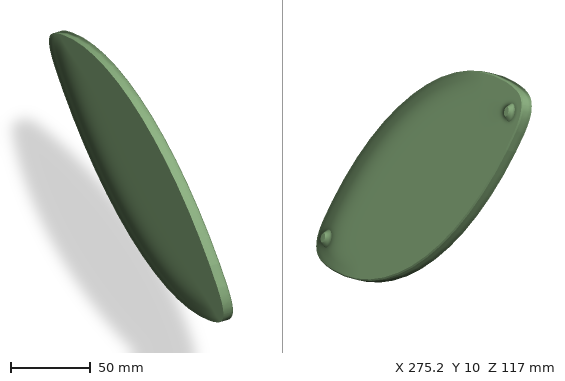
import cadquery as cq
import math

LENGTH = 275.2
WIDTH = 117.0
DEPTH = 10.0
BACK_CHAMFER = 0.8

SIDE_RADIUS = 210.5
TIP_START_X = 116.5
TIP_FULLNESS = 0.75

PEG_SPACING = 244.5
PEG_BASE_DIAMETER = 11.5
PEG_TOP_DIAMETER = 6.0
PEG_HEIGHT = 3.0

THICKNESS = DEPTH - PEG_HEIGHT


def make_plate():
    """Leaf-shaped plate with its front face on Y = 0 and a chamfered back edge."""
    half_length = LENGTH / 2
    half_width = WIDTH / 2
    side_angle = math.asin(TIP_START_X / SIDE_RADIUS)
    tip_start_z = half_width - SIDE_RADIUS * (1 - math.cos(side_angle))

    tip_run = half_length - TIP_START_X
    corner_drop = tip_run * math.tan(side_angle)
    corner_z = tip_start_z - corner_drop
    handle_x = TIP_START_X + TIP_FULLNESS * tip_run
    handle_z = tip_start_z - TIP_FULLNESS * corner_drop
    upper_tip = [
        (TIP_START_X, tip_start_z),
        (handle_x, handle_z),
        (half_length, TIP_FULLNESS * corner_z),
        (half_length, 0),
    ]
    lower_tip = [(x, -z) for x, z in reversed(upper_tip)]
    right_tip = [upper_tip, lower_tip]
    left_tip = [[(-x, -z) for x, z in curve] for curve in right_tip]

    outline = cq.Workplane("XZ").moveTo(-TIP_START_X, tip_start_z)
    for crest_z, tip in ((half_width, right_tip), (-half_width, left_tip)):
        outline = outline.threePointArc((0, crest_z), tip[0][0])
        for curve in tip:
            outline = outline.bezier(curve)
    return outline.close().extrude(-THICKNESS).faces(">Y").chamfer(BACK_CHAMFER)


def make_peg(center_x):
    """Truncated cone that stands on the back face and points toward +Y."""
    cone = cq.Solid.makeCone(
        PEG_BASE_DIAMETER / 2,
        PEG_TOP_DIAMETER / 2,
        PEG_HEIGHT,
        pnt=cq.Vector(center_x, THICKNESS, 0),
        dir=cq.Vector(0, 1, 0),
    )
    return cq.Workplane(obj=cone)


result = make_plate()
for side in (-1, 1):
    result = result.union(make_peg(side * PEG_SPACING / 2))